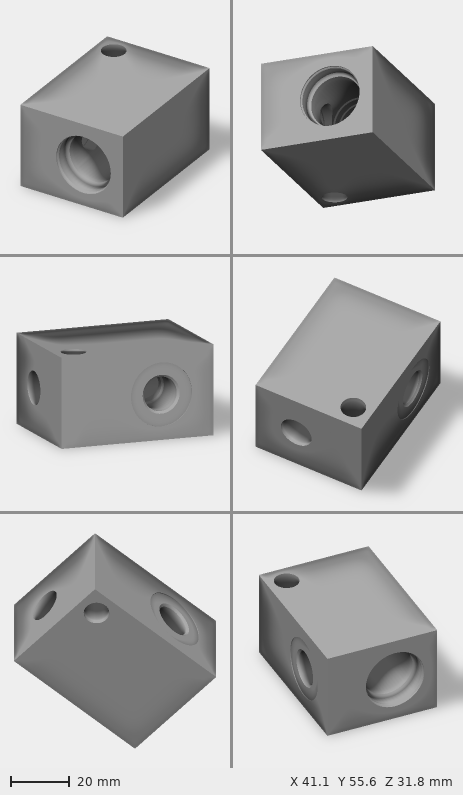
import cadquery as cq

width = 41.15
length = 55.6
height = 31.75
mid_height = height / 2

mount_diameter = 8.7
mount_x = 7.1
mount_y = 48.4

cavity_x = 25.35
bore_radius = 5.95
cavity_wall = [
    (10.95, 0.0),
    (10.95, 0.5),
    (10.6, 0.9),
    (10.5, 1.1),
    (10.5, 5.05),
    (9.3, 5.95),
    (9.3, 25.55),
    (8.85, 26.0),
    (8.85, 28.9),
    (8.45, 29.3),
    (8.45, 36.1),
    (6.8, 36.1),
    (bore_radius, 36.6),
]

port_y = 19.0
port_mouth_radius = 6.8
port_thread_radius = 6.0
port_drill_radius = 5.35
port_chamfer_depth = 0.8
port_thread_depth = 12.8
port_taper_length = 0.65
spotface_radius = 11.15
spotface_depth = 0.3


def valve_cavity():
    """Solid of revolution removed from the front face through to the back."""
    profile = [(0.0, 0.0)] + cavity_wall + [(bore_radius, length), (0.0, length)]
    return (
        cq.Workplane("XY")
        .polyline(profile)
        .close()
        .revolve(360, (0, 0, 0), (0, 1, 0))
        .translate((cavity_x, 0, mid_height))
    )


def side_port():
    """Solid of revolution removed from the left face as far as the cavity axis."""
    profile = [
        (0.0, 0.0),
        (0.0, spotface_radius),
        (spotface_depth, spotface_radius),
        (spotface_depth, port_mouth_radius),
        (spotface_depth + port_chamfer_depth, port_thread_radius),
        (port_thread_depth, port_thread_radius),
        (port_thread_depth + port_taper_length, port_drill_radius),
        (cavity_x, port_drill_radius),
        (cavity_x, 0.0),
    ]
    return (
        cq.Workplane("XY")
        .polyline(profile)
        .close()
        .revolve(360, (0, 0, 0), (1, 0, 0))
        .translate((0, port_y, mid_height))
    )


block = cq.Workplane("XY").box(width, length, height, centered=False)
mounting_hole = (
    cq.Workplane("XY")
    .center(mount_x, mount_y)
    .circle(mount_diameter / 2)
    .extrude(height)
)

result = block.cut(mounting_hole).cut(valve_cavity()).cut(side_port())